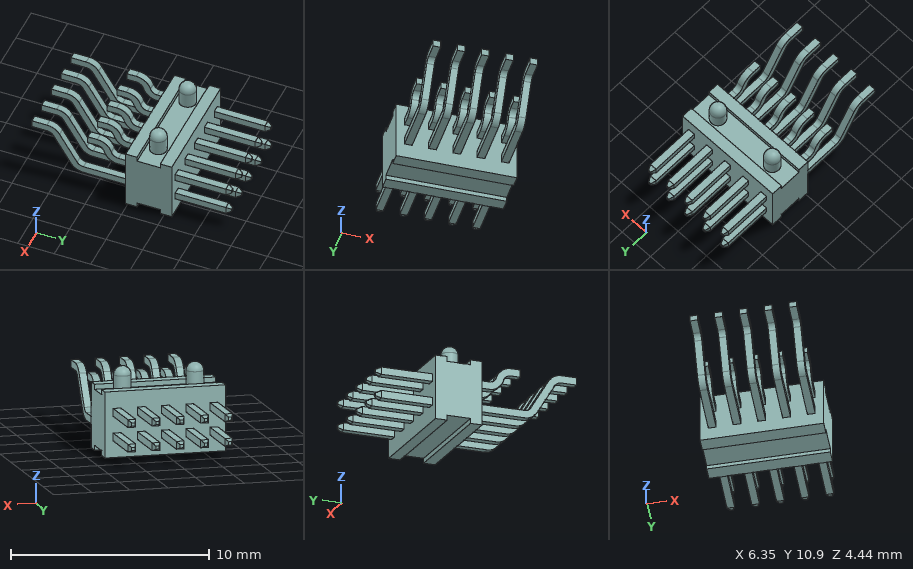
import cadquery as cq
import math

pins_per_row = 5
housing_width = 6.35
pitch = housing_width / pins_per_row

housing_depth = 2 * pitch
housing_height = 3.42
groove_width = pitch
groove_depth = 0.26

overall_length = 10.9
pin_size = 0.4
tip_length = 0.26
tip_size = 0.16
tip_end_y = 4.31
shortest_ramp = 0.001
bend_radius = 1.5 * pin_size
foot_z = housing_height / 2 - pin_size / 2

upper_row_z = pitch / 2
upper_bend_start_y = -1.84
upper_foot_end_y = -3.53

lower_row_z = -pitch / 2
lower_bend_start_y = -3.76
lower_foot_end_y = tip_end_y - overall_length
lower_bend_angle = math.radians(58.5)

peg_diameter = 0.89
peg_spacing = 3 * pitch
peg_top_above_housing = 1.02


def make_housing_block():
    """Block with a full-width groove along X in its top and bottom faces."""
    block = cq.Workplane("XY").box(housing_width, housing_depth, housing_height)
    groove = cq.Workplane("XY").box(housing_width, groove_width, 2 * groove_depth)
    for face_z in (-housing_height / 2, housing_height / 2):
        block = block.cut(groove.translate((0, 0, face_z)))
    return block


def make_pin(row_z, bend_start_y, foot_end_y, bend_angle):
    """Pin at X = 0: pointed tip at +Y, straight shank, upward S-bend and level foot at -Y."""
    shank_end_y = tip_end_y - tip_length
    arc_run = bend_radius * math.sin(bend_angle)
    arc_rise = bend_radius * (1 - math.cos(bend_angle))
    half_run = bend_radius * math.sin(bend_angle / 2)
    half_rise = bend_radius * (1 - math.cos(bend_angle / 2))
    ramp_rise = foot_z - row_z - 2 * arc_rise
    ramp_run = ramp_rise / math.tan(bend_angle)

    ramp_start = (bend_start_y - arc_run, row_z + arc_rise)
    ramp_end = (ramp_start[0] - ramp_run, ramp_start[1] + ramp_rise)
    foot_start_y = ramp_end[0] - arc_run

    path = cq.Workplane("YZ").moveTo(shank_end_y, row_z).lineTo(bend_start_y, row_z)
    path = path.threePointArc((bend_start_y - half_run, row_z + half_rise), ramp_start)
    if ramp_rise > shortest_ramp:
        path = path.lineTo(*ramp_end)
    path = path.threePointArc((foot_start_y + half_run, foot_z - half_rise), (foot_start_y, foot_z))
    path = path.lineTo(foot_end_y, foot_z)

    shank_end = cq.Workplane("XZ", origin=(0, shank_end_y, row_z))
    shank = shank_end.rect(pin_size, pin_size).sweep(path)
    tip = (
        shank_end.rect(pin_size, pin_size)
        .workplane(offset=-tip_length)
        .rect(tip_size, tip_size)
        .loft(ruled=True)
    )
    return shank.union(tip)


def make_peg():
    """Round peg with a hemispherical end, standing on Z = 0."""
    radius = peg_diameter / 2
    top_z = groove_depth + peg_top_above_housing
    dome_centre_z = top_z - radius
    diagonal = radius * math.sqrt(0.5)
    profile = (
        cq.Workplane("XZ")
        .lineTo(radius, 0)
        .lineTo(radius, dome_centre_z)
        .threePointArc((diagonal, dome_centre_z + diagonal), (0, top_z))
        .close()
    )
    return profile.revolve(360, (0, 0, 0), (0, 1, 0))


upper_bend_angle = math.acos(1 - (foot_z - upper_row_z) / (2 * bend_radius))
upper_pin = make_pin(upper_row_z, upper_bend_start_y, upper_foot_end_y, upper_bend_angle)
lower_pin = make_pin(lower_row_z, lower_bend_start_y, lower_foot_end_y, lower_bend_angle)

housing = make_housing_block()
for index in range(pins_per_row):
    pin_x = (index - (pins_per_row - 1) / 2) * pitch
    housing = housing.union(upper_pin.translate((pin_x, 0, 0)))
    housing = housing.union(lower_pin.translate((pin_x, 0, 0)))

groove_floor_z = housing_height / 2 - groove_depth
pegs = []
for peg_x in (-peg_spacing / 2, peg_spacing / 2):
    pegs.append(make_peg().translate((peg_x, 0, groove_floor_z)).val())

result = cq.Compound.makeCompound([housing.val(), *pegs])